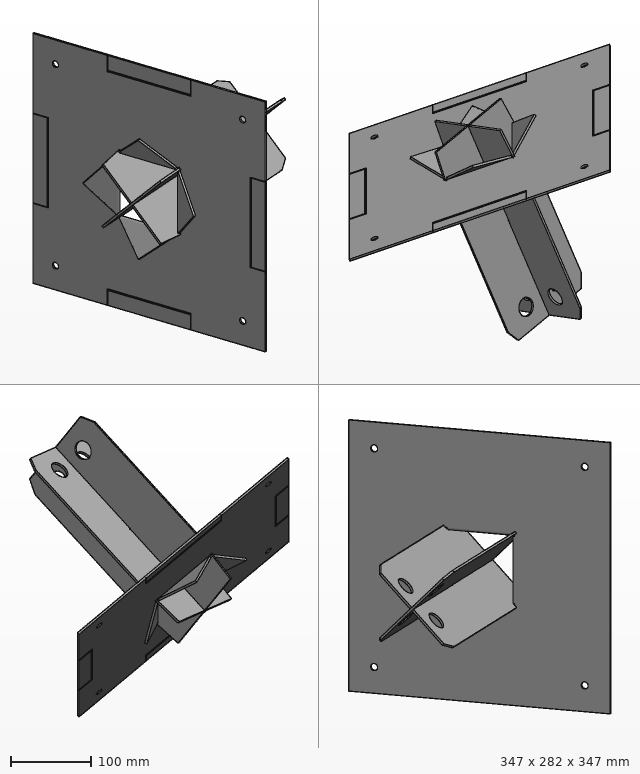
import cadquery as cq
import math

SHEET = 3.0

PLATE_SIDE = 347.0
BOLT_HOLE_SPACING = 279.7
BOLT_HOLE_DIAMETER = 9.0

OUTLINE_LENGTH = 125.0
OUTLINE_WIDTH = 22.5
GROOVE_WIDTH = 1.7
GROOVE_END_WIDTH = 0.5
GROOVE_DEPTH = 1.0

WINDOW_SIDE = 93.0
FLAP_ANGLE = 30.0
FLAP_BASE = 86.5
FLAP_HEIGHT = FLAP_BASE / 2
WINDOW_CORNER_CUT = (WINDOW_SIDE - FLAP_BASE) / 2

BLADE_ANGLE = 45.0
BLADE_LENGTH = 282.0
NOSE_LENGTH = 39.2
NOSE_ROOT_WIDTH = 130.0
NOSE_TIP_WIDTH = 122.0
TAIL_WIDTH = 137.5
TAIL_CORNER_WIDTH = 9.7
TAIL_CORNER_LENGTH = 18.0
BLADE_HOLE_DIAMETER = 24.0
BLADE_HOLE_SPACING = 57.5
BLADE_HOLE_END_DISTANCE = 30.2
SLOT_WIDTH = 3.5

NOSE_END = -NOSE_LENGTH
TAIL_END = BLADE_LENGTH - NOSE_LENGTH
SLOT_BOTTOM = (NOSE_END + TAIL_END) / 2


def box(x_size, y_range, z_size, x=0.0, z=0.0):
    """Box centred on (x, z) that spans y_range along Y."""
    y_start, y_end = y_range
    return (
        cq.Workplane("XY")
        .box(x_size, y_end - y_start, z_size)
        .translate((x, (y_start + y_end) / 2, z))
    )


def about_y(shape, angle):
    """Shape turned about the Y axis by angle degrees."""
    return shape.rotate((0, 0, 0), (0, 1, 0), angle)


def make_blade(angle, slot_range):
    """Blade turned about Y by angle, with a half-lap slot over slot_range along Y."""
    right_side = [
        (NOSE_TIP_WIDTH / 2, NOSE_END),
        (NOSE_ROOT_WIDTH / 2, 0),
        (NOSE_ROOT_WIDTH / 2, SHEET),
        (TAIL_WIDTH / 2, SHEET),
        (TAIL_WIDTH / 2, TAIL_END - TAIL_CORNER_LENGTH),
        (TAIL_WIDTH / 2 - TAIL_CORNER_WIDTH, TAIL_END),
    ]
    left_side = [(-x, y) for x, y in reversed(right_side)]
    hole_y = TAIL_END - BLADE_HOLE_END_DISTANCE
    blade = (
        cq.Workplane("XY")
        .polyline(right_side + left_side)
        .close()
        .extrude(SHEET / 2, both=True)
    )
    holes = (
        cq.Workplane("XY")
        .pushPoints([(-BLADE_HOLE_SPACING / 2, hole_y), (BLADE_HOLE_SPACING / 2, hole_y)])
        .circle(BLADE_HOLE_DIAMETER / 2)
        .extrude(SHEET, both=True)
    )
    slot = box(SLOT_WIDTH, slot_range, 2 * SHEET)
    return about_y(blade.cut(holes).cut(slot), angle)


def make_flap():
    """Triangular flap on the +X side of the window, joined to the plate by a rounded fold."""
    hinge = WINDOW_SIDE / 2
    slope = math.radians(FLAP_ANGLE)
    along = (math.cos(slope), -math.sin(slope))
    outward = (-math.sin(slope), -math.cos(slope))
    fold_end = (hinge + SHEET * outward[0], SHEET * outward[1])
    fold = (
        cq.Workplane("XY")
        .moveTo(hinge, 0)
        .lineTo(hinge, SHEET)
        .threePointArc((hinge - SHEET * math.cos(slope / 2), SHEET * math.sin(slope / 2)), fold_end)
        .close()
        .extrude(FLAP_BASE / 2, both=True)
    )
    blank_plane = cq.Plane(origin=(hinge, 0, 0), xDir=(*along, 0), normal=(*outward, 0))
    triangle = (
        cq.Workplane(blank_plane)
        .polyline([(0, -FLAP_BASE / 2), (FLAP_HEIGHT, 0), (0, FLAP_BASE / 2)])
        .close()
        .extrude(SHEET)
    )
    return fold.union(triangle)


def make_groove():
    """U-shaped groove around the rectangle on the +X edge of the plate."""
    depth = (0, GROOVE_DEPTH)
    middle = (PLATE_SIDE - OUTLINE_WIDTH) / 2
    outline = box(OUTLINE_WIDTH, depth, OUTLINE_LENGTH, x=middle)
    island = box(OUTLINE_WIDTH, depth, OUTLINE_LENGTH - 2 * GROOVE_END_WIDTH, x=middle + GROOVE_WIDTH)
    return outline.cut(island)


def make_plate():
    """Base plate with its bolt holes, window, folded flaps and edge grooves."""
    window = box(WINDOW_SIDE, (0, SHEET), WINDOW_SIDE).edges("|Y").chamfer(WINDOW_CORNER_CUT)
    plate = box(PLATE_SIDE, (0, SHEET), PLATE_SIDE).cut(window)
    bolt_holes = (
        cq.Workplane("XZ")
        .rect(BOLT_HOLE_SPACING, BOLT_HOLE_SPACING, forConstruction=True)
        .vertices()
        .circle(BOLT_HOLE_DIAMETER / 2)
        .extrude(SHEET, both=True)
    )
    plate = plate.cut(bolt_holes)
    flap = make_flap()
    groove = make_groove()
    for turn in (0, 90, 180, 270):
        plate = plate.union(about_y(flap, turn))
        plate = plate.cut(about_y(groove, turn))
    return plate


rising_blade = make_blade(-BLADE_ANGLE, (SLOT_BOTTOM, TAIL_END))
falling_blade = make_blade(BLADE_ANGLE, (NOSE_END, SLOT_BOTTOM))
base_plate = make_plate().cut(rising_blade).cut(falling_blade)

result = cq.Compound.makeCompound([base_plate.val(), rising_blade.val(), falling_blade.val()])